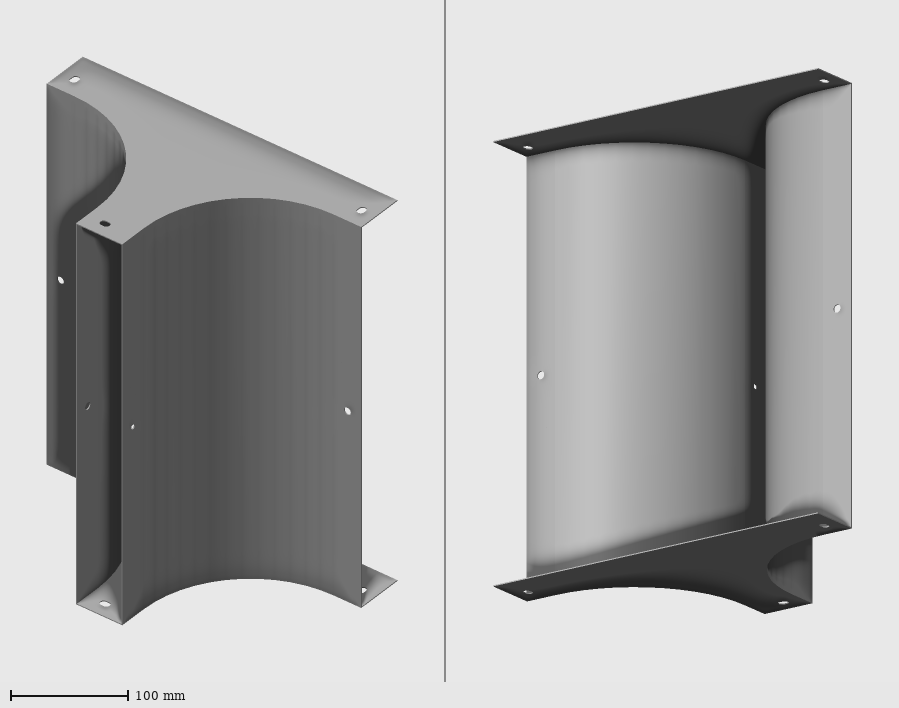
import cadquery as cq
import math

length = 340.0
depth = 195.0
height = 400.0
sheet = 1.0

arm_width = 50.0
bend_radius = 115.0
half_length = length / 2
half_arm = arm_width / 2
y_back = depth / 2
y_front = -depth / 2
y_wing = y_back - arm_width
bend_x = half_arm + bend_radius
bend_y = y_wing - bend_radius

hole_diameter = 7.0
far_hole_diameter = 5.0
slot_length = 10.0
slot_offset = 5.0
hole_inset = (half_length - bend_x) / 2
wing_hole_x = half_length - hole_inset
stem_hole_y = y_front + hole_inset


def tee_plate(bottom):
    """Tee-shaped plate with its underside at the given height."""
    diagonal = bend_radius * math.sqrt(0.5)
    plan = (
        cq.Workplane("XY", origin=(0, 0, bottom))
        .moveTo(-half_length, y_back)
        .lineTo(half_length, y_back)
        .lineTo(half_length, y_wing)
        .lineTo(bend_x, y_wing)
        .threePointArc((bend_x - diagonal, bend_y + diagonal), (half_arm, bend_y))
        .lineTo(half_arm, y_front)
        .lineTo(-half_arm, y_front)
        .lineTo(-half_arm, bend_y)
        .threePointArc((diagonal - bend_x, bend_y + diagonal), (-bend_x, y_wing))
        .lineTo(-half_length, y_wing)
        .close()
    )
    return plan.extrude(sheet)


def right_wall():
    """Full-height curved wall joining the +X wing to the stem, inside the plan outline."""
    outer_diagonal = bend_radius * math.sqrt(0.5)
    inner_radius = bend_radius + sheet
    inner_diagonal = inner_radius * math.sqrt(0.5)
    plan = (
        cq.Workplane("XY", origin=(0, 0, -height / 2))
        .moveTo(half_length, y_wing)
        .lineTo(bend_x, y_wing)
        .threePointArc((bend_x - outer_diagonal, bend_y + outer_diagonal), (half_arm, bend_y))
        .lineTo(half_arm, y_front)
        .lineTo(half_arm - sheet, y_front)
        .lineTo(half_arm - sheet, bend_y)
        .threePointArc((bend_x - inner_diagonal, bend_y + inner_diagonal), (bend_x, y_wing + sheet))
        .lineTo(half_length, y_wing + sheet)
        .close()
    )
    return plan.extrude(height)


def plate_slots():
    """Cutters for the slots in both plates, one slot in each arm."""
    wing_slots = (
        cq.Workplane("XY")
        .pushPoints([(side * wing_hole_x, y_wing + half_arm - slot_offset) for side in (-1, 1)])
        .slot2D(slot_length, hole_diameter, 90)
        .extrude(height, both=True)
    )
    stem_slot = (
        cq.Workplane("XY")
        .center(-slot_offset, stem_hole_y)
        .slot2D(slot_length, hole_diameter)
        .extrude(height, both=True)
    )
    return wing_slots.union(stem_slot)


def wall_holes():
    """Cutters for the mid-height holes in the wings and in the two stem walls."""
    wing_holes = (
        cq.Workplane("XZ")
        .pushPoints([(side * wing_hole_x, 0) for side in (-1, 1)])
        .circle(hole_diameter / 2)
        .extrude(depth, both=True)
    )
    stem_plane = cq.Workplane("YZ").center(stem_hole_y, 0)
    near_hole = stem_plane.circle(hole_diameter / 2).extrude(-arm_width)
    far_hole = stem_plane.circle(far_hole_diameter / 2).extrude(arm_width)
    return wing_holes.union(near_hole).union(far_hole)


wall = right_wall()
channel = (
    tee_plate(-height / 2)
    .union(tee_plate(height / 2 - sheet))
    .union(wall)
    .union(wall.mirror("YZ"))
)
result = channel.cut(plate_slots()).cut(wall_holes())